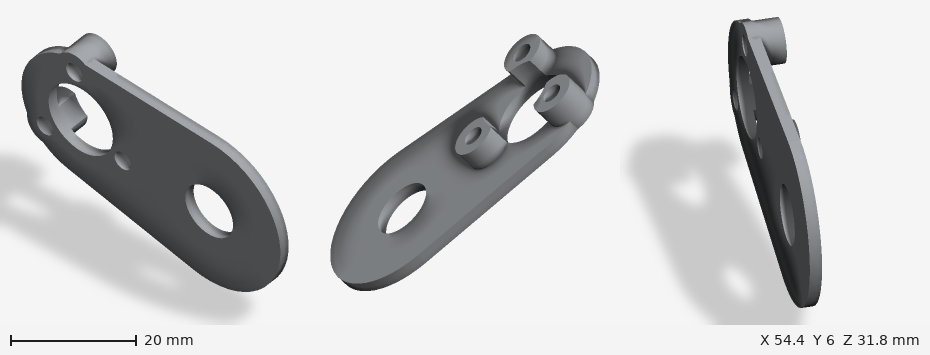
import cadquery as cq
import math

overall_length = 54.45
plate_thickness = 2.0
overall_depth = 6.0
small_end_radius = 12.45
large_end_radius = 15.0
large_end_x = overall_length - small_end_radius - large_end_radius
large_end_z = -3.55

small_end_bore_diameter = 13.5
large_end_bore_diameter = 10.0

boss_count = 3
boss_radius = 3.75
boss_circle_radius = 9.55
first_boss_angle = 98.0
screw_hole_diameter = 3.5

boss_centers = []
for index in range(boss_count):
    angle = math.radians(first_boss_angle + index * 360 / boss_count)
    boss_centers.append((boss_circle_radius * math.cos(angle), boss_circle_radius * math.sin(angle)))


def cylinders(centers, radius, depth):
    """Round bars from the flat outer face at Y = 0 toward +Y."""
    return cq.Workplane("XZ").pushPoints(centers).circle(radius).extrude(-depth)


def end_point(center, radius, angle):
    return (center[0] + radius * math.cos(angle), center[1] + radius * math.sin(angle))


def make_plate():
    small_center = (0, 0)
    large_center = (large_end_x, large_end_z)
    axis_angle = math.atan2(large_end_z, large_end_x)
    center_distance = math.hypot(large_end_x, large_end_z)
    contact_angle = math.acos((small_end_radius - large_end_radius) / center_distance)
    upper = axis_angle + contact_angle
    lower = axis_angle - contact_angle
    return (
        cq.Workplane("XZ")
        .moveTo(*end_point(small_center, small_end_radius, upper))
        .lineTo(*end_point(large_center, large_end_radius, upper))
        .threePointArc(
            end_point(large_center, large_end_radius, axis_angle),
            end_point(large_center, large_end_radius, lower),
        )
        .lineTo(*end_point(small_center, small_end_radius, lower))
        .threePointArc(
            end_point(small_center, small_end_radius, axis_angle + math.pi),
            end_point(small_center, small_end_radius, upper),
        )
        .close()
        .extrude(-plate_thickness)
    )


result = make_plate().union(cylinders(boss_centers, boss_radius, overall_depth))

result = result.cut(cylinders([(0, 0)], small_end_bore_diameter / 2, overall_depth))
result = result.cut(
    cylinders([(large_end_x, large_end_z)], large_end_bore_diameter / 2, plate_thickness)
)
result = result.cut(cylinders(boss_centers, screw_hole_diameter / 2, overall_depth))